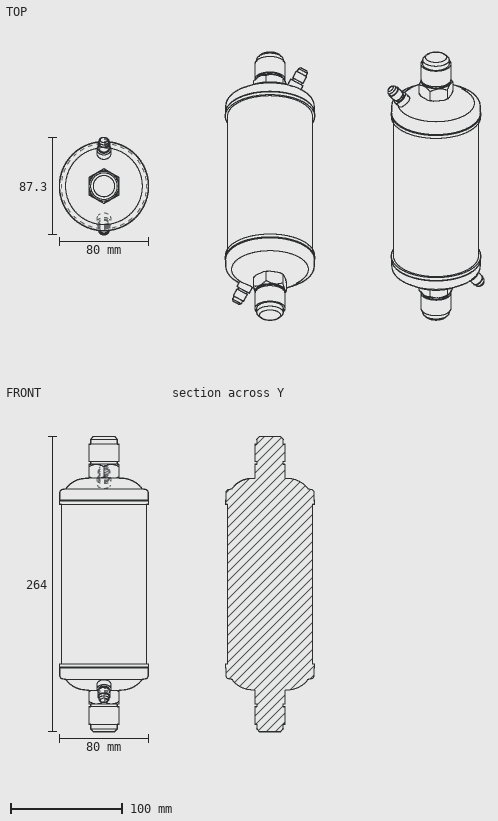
import cadquery as cq
import math

half_length = 132.0
overlap = 2.6

body_radius = 38.0
ring_diameter = 80.0
ring_radius = ring_diameter / 2
ring_bottom = 71.3
ring_top = 75.0
ring_chamfer_height = 0.8
cap_radius = 39.5
skirt_top = 81.5
cap_edge_radius = 3.2
shoulder_slope = 10.0
dome_foot_radius = 34.3
dome_height = 94.8
dome_flat_radius = 15.0
dome_arc_radius = 24.0
dome_arc_sweep = 42.0

hex_across_flats = 27.0
hex_top = 107.2
hex_top_chamfer_radius = 13.2
hex_bottom_chamfer_radius = 14.3
neck_radius = 12.0
thread_bottom = 109.3
thread_top = 125.1
thread_radius = 13.5
tip_face_radius = 9.5
tip_chamfer_height = 2.6

valve_tilt = 40.0
valve_seat_y = 32.7
valve_seat_z = 93.7
valve_base_radius = 6.3
valve_base_length = 10.5
valve_neck_length = 1.8
valve_thread_radius = 5.3
valve_thread_length = 6.9
valve_tip_radius = 4.5
valve_tip_length = 4.5
valve_tip_face_radius = 3.2
valve_tip_chamfer_height = 1.5


def cylinder(radius, bottom, top):
    return cq.Workplane("XY").workplane(offset=bottom).circle(radius).extrude(top - bottom)


def coned_tip(radius, face_radius, cone_height, bottom, top):
    """Cylinder whose upper end narrows to a smaller flat face."""
    outline = [(0, bottom), (radius, bottom), (radius, top - cone_height), (face_radius, top), (0, top)]
    return cq.Workplane("XZ").polyline(outline).close().revolve(360, (0, 0), (0, 1))


def shell_half():
    """Upper half of the shell: body, bead ring, cap skirt and dome."""

    def dome_point(sweep_degrees):
        sweep = math.radians(sweep_degrees)
        radius = dome_flat_radius + dome_arc_radius * math.sin(sweep)
        return radius, dome_height - dome_arc_radius * (1 - math.cos(sweep))

    def edge_point(sweep_degrees):
        sweep = math.radians(sweep_degrees)
        radius = cap_radius - cap_edge_radius * (1 - math.cos(sweep))
        return radius, skirt_top + cap_edge_radius * math.sin(sweep)

    edge_sweep = 90 - shoulder_slope
    shoulder_radius, shoulder_z = edge_point(edge_sweep)
    shoulder_rise = (shoulder_radius - dome_foot_radius) * math.tan(math.radians(shoulder_slope))
    return (
        cq.Workplane("XZ")
        .moveTo(0, 0)
        .lineTo(body_radius, 0)
        .lineTo(body_radius, ring_bottom)
        .lineTo(ring_radius, ring_bottom)
        .lineTo(ring_radius, ring_top - ring_chamfer_height)
        .lineTo(cap_radius, ring_top)
        .lineTo(cap_radius, skirt_top)
        .threePointArc(edge_point(edge_sweep / 2), (shoulder_radius, shoulder_z))
        .lineTo(dome_foot_radius, shoulder_z + shoulder_rise)
        .lineTo(*dome_point(dome_arc_sweep))
        .threePointArc(dome_point(dome_arc_sweep / 2), (dome_flat_radius, dome_height))
        .lineTo(0, dome_height)
        .close()
        .revolve(360, (0, 0), (0, 1))
    )


def hex_nut():
    """Hexagon with corners on the Y axis, its corners chamfered at both ends."""
    corner_radius = hex_across_flats / math.sqrt(3)
    top_drop = corner_radius - hex_top_chamfer_radius
    bottom_rise = corner_radius - hex_bottom_chamfer_radius
    envelope = [
        (0, dome_height),
        (hex_bottom_chamfer_radius, dome_height),
        (corner_radius, dome_height + bottom_rise),
        (corner_radius, hex_top - top_drop),
        (hex_top_chamfer_radius, hex_top),
        (0, hex_top),
    ]
    prism = (
        cq.Workplane("XY", origin=(0, 0, dome_height))
        .transformed(rotate=(0, 0, 90))
        .polygon(6, 2 * corner_radius)
        .extrude(hex_top - dome_height)
    )
    return prism.intersect(cq.Workplane("XZ").polyline(envelope).close().revolve(360, (0, 0), (0, 1)))


def end_fitting():
    core = coned_tip(neck_radius, tip_face_radius, tip_chamfer_height, dome_height - overlap, half_length)
    thread = cylinder(thread_radius, thread_bottom, thread_top)
    return core.union(hex_nut()).union(thread)


def service_valve():
    """Valve built along Z with its base face at the origin, then tilted towards +Y."""
    thread_end = valve_neck_length + valve_thread_length
    core = coned_tip(
        valve_tip_radius,
        valve_tip_face_radius,
        valve_tip_chamfer_height,
        -overlap,
        thread_end + valve_tip_length,
    )
    base = cylinder(valve_base_radius, -valve_base_length, 0)
    thread = cylinder(valve_thread_radius, valve_neck_length, thread_end)
    upright = core.union(base).union(thread)
    tilted = upright.rotate((0, 0, 0), (1, 0, 0), -valve_tilt)
    return tilted.translate((0, valve_seat_y, valve_seat_z))


upper_half = shell_half().union(end_fitting()).union(service_valve())
lower_half = upper_half.rotate((0, 0, 0), (1, 0, 0), 180)
result = upper_half.union(lower_half)